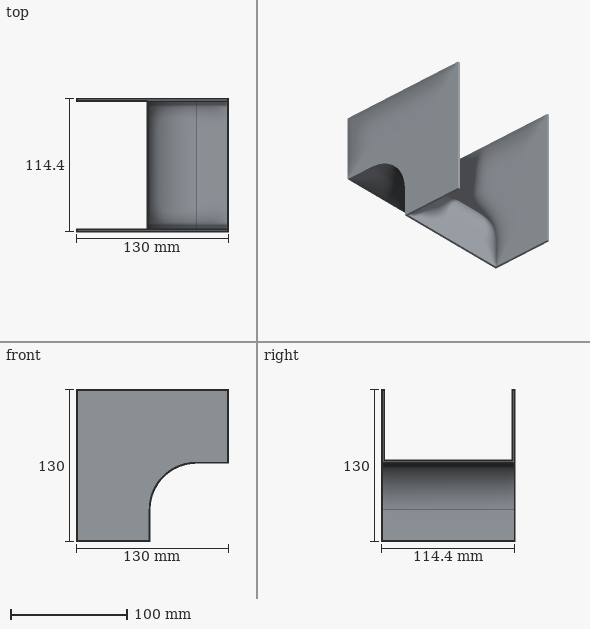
import cadquery as cq

side_length = 130.0
overall_width = 114.4
sheet = 2.2

channel_depth = 60.5
bend_radius = 40.0

half_side = side_length / 2
half_width = overall_width / 2


def elbow_profile(depth, radius):
    """L-shaped outline in XZ: a square less its lower right corner, inner corner rounded."""
    notch_x = -half_side + depth
    notch_z = half_side - depth
    return (
        cq.Workplane("XZ", origin=(0, half_width, 0))
        .moveTo(-half_side, -half_side)
        .lineTo(notch_x, -half_side)
        .lineTo(notch_x, notch_z - radius)
        .radiusArc((notch_x + radius, notch_z), radius)
        .lineTo(half_side, notch_z)
        .lineTo(half_side, half_side)
        .lineTo(-half_side, half_side)
        .close()
    )


def make_body():
    """Full-width block whose notch side is the outside face of the floor."""
    return elbow_profile(channel_depth + sheet, bend_radius).extrude(overall_width)


def make_channel():
    """Open space between the side plates, bounded by the inside face of the floor."""
    space = elbow_profile(channel_depth, bend_radius + sheet).extrude(overall_width - 2 * sheet)
    return space.translate((0, -sheet, 0))


result = make_body().cut(make_channel())